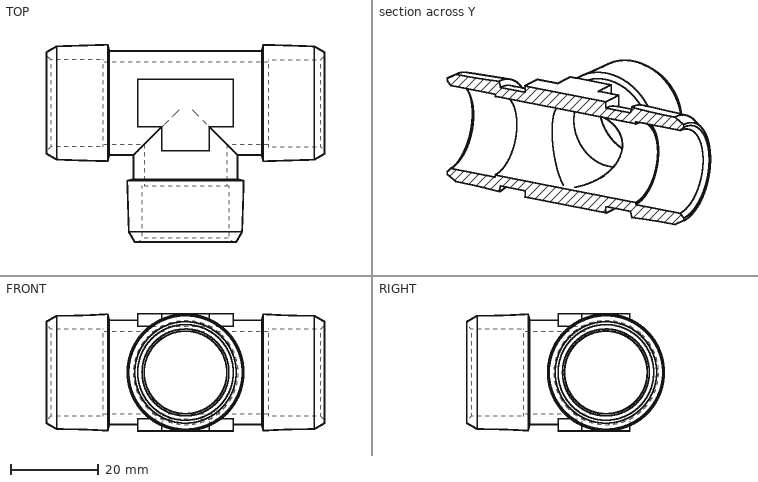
import cadquery as cq
import math

ARM_LENGTH = 32.0
BODY_DIAMETER = 24.0

COLLAR_LENGTH = 14.5
COLLAR_MAX_RADIUS = 13.42
COLLAR_TAPER = 1 / 32
END_CHAMFER_LENGTH = 2.4
END_CHAMFER_ANGLE = 30.0
BACK_FACE_ANGLE = 15.0

BORE_DIAMETER = 19.0
SOCKET_DIAMETER = 20.0
SOCKET_DEPTH = 13.0
MOUTH_CHAMFER = 1.0

PAD_LENGTH = 22.0
PAD_WIDTH = PAD_LENGTH / 2
PAD_HEIGHT = 27.0

OTHER_ARM_ANGLES = (90, 180)

body_radius = BODY_DIAMETER / 2
bore_radius = BORE_DIAMETER / 2
socket_radius = SOCKET_DIAMETER / 2


def revolve_about_x(outline):
    """Revolve (axial distance, radius) points into a solid lying along -X."""
    points = [(-distance, radius) for distance, radius in outline]
    return cq.Workplane("XY").polyline(points).close().revolve(360, (0, 0, 0), (1, 0, 0))


def arm_solid():
    """Round arm with its tapered, chamfered collar."""
    back_start = ARM_LENGTH - COLLAR_LENGTH
    back_rise = COLLAR_MAX_RADIUS - body_radius
    widest = back_start + back_rise * math.tan(math.radians(BACK_FACE_ANGLE))
    chamfer_start = ARM_LENGTH - END_CHAMFER_LENGTH
    chamfer_radius = COLLAR_MAX_RADIUS - COLLAR_TAPER * (chamfer_start - widest)
    end_radius = chamfer_radius - END_CHAMFER_LENGTH * math.tan(math.radians(END_CHAMFER_ANGLE))
    return revolve_about_x([
        (0, 0),
        (0, body_radius),
        (back_start, body_radius),
        (widest, COLLAR_MAX_RADIUS),
        (chamfer_start, chamfer_radius),
        (ARM_LENGTH, end_radius),
        (ARM_LENGTH, 0),
    ])


def arm_bore():
    """Stepped bore of one arm, with a chamfered mouth."""
    shoulder = ARM_LENGTH - SOCKET_DEPTH
    return revolve_about_x([
        (0, 0),
        (0, bore_radius),
        (shoulder, bore_radius),
        (shoulder, socket_radius),
        (ARM_LENGTH - MOUTH_CHAMFER, socket_radius),
        (ARM_LENGTH, socket_radius + MOUTH_CHAMFER),
        (ARM_LENGTH, 0),
    ])


def wrench_pads():
    """T-shaped block whose top and bottom stand out of the tubes as flats."""
    bar = cq.Workplane("XY").box(PAD_LENGTH, PAD_WIDTH, PAD_HEIGHT)
    stem = cq.Workplane("XY").box(PAD_WIDTH, PAD_WIDTH, PAD_HEIGHT)
    return bar.union(stem.translate((0, -PAD_WIDTH / 2, 0)))


def at_each_arm(shape):
    """Union of a -X arm shape turned to all three arm directions."""
    combined = shape
    for angle in OTHER_ARM_ANGLES:
        combined = combined.union(shape.rotate((0, 0, 0), (0, 0, 1), angle))
    return combined


result = at_each_arm(arm_solid()).union(wrench_pads()).cut(at_each_arm(arm_bore()))